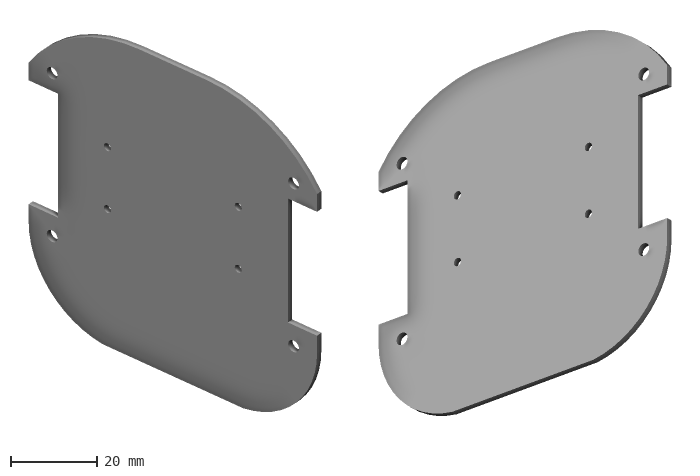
import cadquery as cq
import math

width = 86.0
height = 88.0
thickness = 1.6
half_width = width / 2

bottom_flat_half = 21.0
bottom_arc_z = 25.0
bottom_arc_run = half_width - bottom_flat_half
bottom_radius = (bottom_arc_run**2 + bottom_arc_z**2) / (2 * bottom_arc_run)

top_flat_half = 10.0
shoulder_z = 70.0
shoulder_run = half_width - top_flat_half
shoulder_drop = height - shoulder_z
top_radius = (shoulder_run**2 + shoulder_drop**2) / (2 * shoulder_drop)

notch_bottom_z = 30.0
notch_height = 35.0
notch_depth = 8.7
notch_mid_z = notch_bottom_z + notch_height / 2

mount_diameter = 3.2
mount_spacing_x = 72.0
mount_spacing_z = 46.0
mount_mid_z = 47.0

inner_diameter = 2.1
inner_spacing_x = 39.0
inner_spacing_z = 17.5


def arc_point(center_x, center_z, radius, angle_deg):
    """Point on a circle at an angle measured from +X towards +Z."""
    angle = math.radians(angle_deg)
    return (center_x + radius * math.cos(angle), center_z + radius * math.sin(angle))


def mirrored(point):
    """Reflect an outline point across X = 0."""
    return (-point[0], point[1])


def back_plane():
    """Sketch plane on the back face, with extrusion running forward to the front face."""
    return cq.Workplane("XZ", origin=(0, thickness / 2, 0))


def plate():
    """Full outline before the notches and holes, centred on Y = 0."""
    bottom_end_angle = -math.degrees(math.asin(bottom_arc_z / bottom_radius))
    bottom_arc_x = half_width - bottom_radius
    bottom_mid = arc_point(bottom_arc_x, bottom_arc_z, bottom_radius, bottom_end_angle / 2)

    top_arc_z = height - top_radius
    shoulder_angle = math.degrees(math.atan2(shoulder_z - top_arc_z, shoulder_run))
    top_mid = arc_point(top_flat_half, top_arc_z, top_radius, (shoulder_angle + 90) / 2)

    return (
        back_plane()
        .moveTo(-bottom_flat_half, 0)
        .lineTo(bottom_flat_half, 0)
        .threePointArc(bottom_mid, (half_width, bottom_arc_z))
        .lineTo(half_width, shoulder_z)
        .threePointArc(top_mid, (top_flat_half, height))
        .lineTo(-top_flat_half, height)
        .threePointArc(mirrored(top_mid), (-half_width, shoulder_z))
        .lineTo(-half_width, bottom_arc_z)
        .threePointArc(mirrored(bottom_mid), (-bottom_flat_half, 0))
        .close()
        .extrude(thickness)
    )


def side_notches():
    """Cutters centred on the side edges, so half of each one bites into the plate."""
    return (
        back_plane()
        .pushPoints([(-half_width, notch_mid_z), (half_width, notch_mid_z)])
        .rect(2 * notch_depth, notch_height)
        .extrude(thickness)
    )


def hole_pattern(diameter, spacing_x, spacing_z, mid_z):
    """Four through-hole cutters on a rectangle centred at X = 0, Z = mid_z."""
    return (
        back_plane()
        .center(0, mid_z)
        .rect(spacing_x, spacing_z, forConstruction=True)
        .vertices()
        .circle(diameter / 2)
        .extrude(thickness)
    )


result = (
    plate()
    .cut(side_notches())
    .cut(hole_pattern(mount_diameter, mount_spacing_x, mount_spacing_z, mount_mid_z))
    .cut(hole_pattern(inner_diameter, inner_spacing_x, inner_spacing_z, notch_mid_z))
)